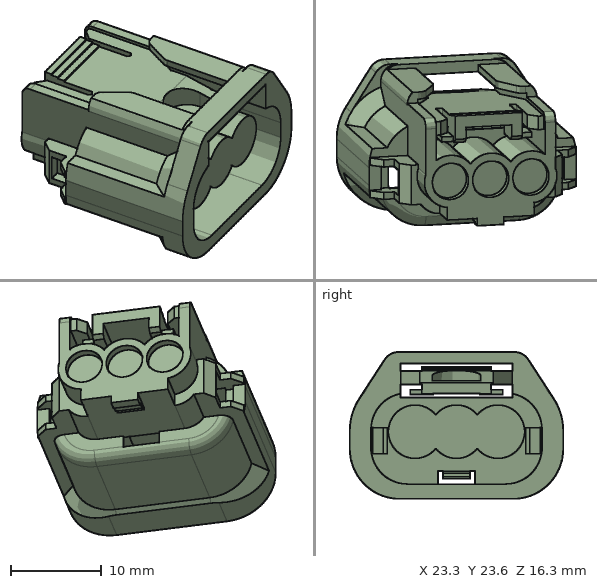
import cadquery as cq
import math


length = 23.25
tower_end = 3.42
hood_start = 8.25
rail_start = 8.52
flare_start = 18.67
lip_start = 20.23
flange_start = 20.7

flange_half_width = 11.8
flange_height = 16.25
shoulder_z = 7.55
shoulder_radius = 6.45
roof_radius = 1.9
side_normal = 33.0
belly_radius = 5.55

ledge_bottom = 4.22
ledge_top = 9.7
barrel_half_width = 10.22
barrel_bottom = 0.4
barrel_top = 12.45
barrel_radius = 4.85
barrel_front_fillet = 1.32
flare_growth = 1.58
cavity_start = 8.55
cavity_half_width = 9.45
cavity_bottom = 1.65
cavity_top = 11.7
cavity_radius = 4.01

wall_outer = 7.39
wall_inner = 6.18
wall_top = 14.54
wall_corner_radius = 1.0
housing_radius = 1.89
roof_underside = 14.96
rail_top = 15.76
rail_inner = 3.56
rail_nose_inner = 5.45
rail_nose_radius = 1.05
rail_straight_start = 11.87
rail_bend_radius = 1.06
passage_floor = 11.23

wire_pitch = 4.58
wire_z = 7.43
tube_radius = 2.95
bore_radius = 2.05
bore_depth = 0.95
tower_bottom = 3.07
tower_foot_half_width = 4.93
neck_radius = 2.6
core_end = 21.25

key_half_width = 1.5
key_steps = [(1.18, 2.22), (2.2, 2.45), (3.19, 2.85)]
keyway_half_width = 2.03

arm_top = 8.7
arm_start = tower_end
arm_nose_half_width = 8.2
arm_half_width = 9.27
arm_chamfer_end = 4.6
arm_step_x = 6.8
arm_step_half_width = 10.5
arm_tip_x = 8.02
arm_tip_half_width = 11.7
window_start = 4.95
window_end = 8.97
window_bottom = 5.0
window_top = 7.88
window_inner = 8.12
window_step_x = 6.87
window_rear_inner = 7.65
window_hood_outer = 10.43

plate_bottom = 12.63
plate_top = 14.15
plate_start = 0.55
plate_chamfer_end = 1.53
plate_neck_start = 8.97
plate_neck_end = 12.27
plate_half_width = 4.08
plate_end = 20.98
plate_slope_start = 14.3
plate_end_top = 12.81
slot_inner = 3.82
slot_outer = 4.55
slot_end = 7.08
slot_end_radius = 0.33
tongue_start = 0.83
tongue_steps = [(1.65, 14.6), (2.45, 14.47), (3.28, 14.3)]
tongue_underside = 13.26
leg_inner = 2.6
leg_end = 4.37
leg_bottom = 11.52
leg_chamfer = 0.45
crossbar_start = 1.85
crossbar_half_width = 5.12
crossbar_top = 12.08
hook_start = 11.8
hook_bottom = 11.63
hook_ramp_end = 13.45
pocket_half_width = 2.67
pocket_start = 14.18
pocket_end = 19.07
pocket_floor = 11.75
pocket_lip_end = 19.64


def box(x0, x1, y0, y1, z0, z1):
    return cq.Workplane("XY").box(x1 - x0, y1 - y0, z1 - z0, centered=False).translate((x0, y0, z0))


def centred_box(x0, x1, half_width, z0, z1):
    return box(x0, x1, -half_width, half_width, z0, z1)


def both_sides(solid):
    return solid.union(solid.mirror("XZ"))


def side_profile(points, half_width):
    """Extrude an XZ outline symmetrically about the mid-plane."""
    return cq.Workplane("XZ").polyline(points).close().extrude(half_width, both=True)


def rounded_bar(x0, x1, half_width, z0, z1, radius):
    return centred_box(x0, x1, half_width, z0, z1).edges("|X").fillet(radius)


def on_circle(centre, radius, degrees):
    angle = math.radians(degrees)
    return (centre[0] + radius * math.cos(angle), centre[1] + radius * math.sin(angle))


def flange_body(x0, x1):
    """Flange outline: flat belly, vertical sides, leaning upper sides and a flat roof."""
    belly = (flange_half_width - belly_radius, belly_radius)
    shoulder = (flange_half_width - shoulder_radius, shoulder_z)

    normal_y, normal_z = on_circle((0, 0), 1, side_normal)
    side_reach = shoulder_radius + shoulder[0] * normal_y + shoulder[1] * normal_z
    roof_z = flange_height - roof_radius
    roof = ((side_reach - roof_radius - roof_z * normal_z) / normal_y, roof_z)

    half = (
        cq.Workplane("YZ", origin=(x0, 0, 0))
        .lineTo(belly[0], 0)
        .threePointArc(on_circle(belly, belly_radius, -45), on_circle(belly, belly_radius, 0))
        .lineTo(flange_half_width, shoulder_z)
        .threePointArc(
            on_circle(shoulder, shoulder_radius, side_normal / 2),
            on_circle(shoulder, shoulder_radius, side_normal),
        )
        .lineTo(*on_circle(roof, roof_radius, side_normal))
        .threePointArc(on_circle(roof, roof_radius, (side_normal + 90) / 2), (roof[0], flange_height))
        .lineTo(0, flange_height)
        .close()
        .extrude(x1 - x0)
    )
    return both_sides(half)


def barrel_outline(growth):
    """Barrel cross-section, enlarged all round by growth."""
    width = 2 * (barrel_half_width + growth)
    height = barrel_top - barrel_bottom + 2 * growth
    return cq.Sketch().rect(width, height).vertices().fillet(barrel_radius + growth)


def flare():
    """Barrel widening up to the flange, trimmed where it reaches the flange outline."""
    cone = (
        cq.Workplane("YZ", origin=(flare_start, 0, (barrel_top + barrel_bottom) / 2))
        .placeSketch(
            barrel_outline(0),
            barrel_outline(flare_growth).moved(cq.Location(cq.Vector(0, 0, flange_start - flare_start))),
        )
        .loft(ruled=True)
    )
    return cone.intersect(flange_body(flare_start, flange_start))


def hood():
    barrel = rounded_bar(hood_start, flange_start, barrel_half_width, barrel_bottom, barrel_top, barrel_radius)
    below_ledge = centred_box(hood_start, length, flange_half_width, 0, ledge_bottom)
    lower_barrel = barrel.faces("<X").edges().fillet(barrel_front_fillet).intersect(below_ledge)
    ledges = flange_body(hood_start, flange_start).intersect(
        centred_box(hood_start, flange_start, flange_half_width, ledge_bottom, ledge_top)
    )
    flange = flange_body(flange_start, length)
    return barrel.cut(below_ledge).union(lower_barrel).union(ledges).union(flare()).union(flange)


def housing():
    """Roofed channel for the latch, between the open front walls and the flange."""
    body = centred_box(rail_start, flange_start, wall_outer, wire_z, flange_height)
    body = body.edges("|X and >Z").fillet(housing_radius)
    return body.cut(centred_box(rail_start, lip_start, wall_outer, rail_top, flange_height))


def rail_opening():
    """Open space above the latch: all of the front, then the gap narrowing between the rails."""
    half_outline = [
        (0, 0),
        (0, wall_outer),
        (rail_start, wall_outer),
        (rail_start, rail_nose_inner),
        (rail_straight_start, rail_inner),
        (lip_start, rail_inner),
        (lip_start, 0),
    ]
    half = cq.Workplane("XY", origin=(0, 0, roof_underside)).polyline(half_outline).close()
    half = half.extrude(flange_height - roof_underside)
    nose = cq.selectors.NearestToPointSelector((rail_start, rail_nose_inner, roof_underside))
    half = half.edges("|Z").edges(nose).fillet(rail_nose_radius)
    bend = cq.selectors.NearestToPointSelector((rail_straight_start, rail_inner, roof_underside))
    half = half.edges("|Z").edges(bend).fillet(rail_bend_radius)
    return both_sides(half)


def front_walls():
    wall = box(0, cavity_start, wall_inner, wall_outer, wire_z, wall_top)
    return both_sides(wall.edges("|Y").edges("<X and >Z").fillet(wall_corner_radius))


def hood_interior():
    """Mating cavity, latch passage above it and keyway through the front wall below it."""
    cavity = rounded_bar(cavity_start, length, cavity_half_width, cavity_bottom, cavity_top, cavity_radius)
    passage = centred_box(hood_start, length, wall_inner, passage_floor, roof_underside)
    keyway = centred_box(hood_start, cavity_start, keyway_half_width, cavity_bottom, tower_bottom)
    return cavity.union(passage).union(keyway)


def wire_cylinder(position, radius, depth):
    """Cylinder on a wire axis, running back from X = 0; position counts from the middle wire."""
    return cq.Workplane("YZ", origin=(0, position * wire_pitch, wire_z)).circle(radius).extrude(depth)


def wire_tower():
    """Three wire tubes on a block, carried on through the hood as a rounded core."""
    foot = centred_box(0, tower_end, tower_foot_half_width, tower_bottom, wire_z)
    neck_half_width = wire_pitch + tube_radius
    neck = centred_box(tower_end, cavity_start, neck_half_width, tower_bottom, wire_z)
    neck = neck.edges("|X and <Z").fillet(neck_radius)
    tower = foot.union(neck)
    for position in (-1, 0, 1):
        tower = tower.union(wire_cylinder(position, tube_radius, core_end))
    step_start = 0
    for step_end, underside in key_steps:
        tower = tower.union(centred_box(step_start, step_end, key_half_width, underside, wire_z))
        step_start = step_end
    return tower


def wire_bores():
    bores = wire_cylinder(0, bore_radius, bore_depth)
    for position in (-1, 1):
        bores = bores.add(wire_cylinder(position, bore_radius, bore_depth))
    return bores.combine()


def side_arms():
    outline = [
        (arm_start, wall_inner),
        (arm_start, arm_nose_half_width),
        (arm_chamfer_end, arm_half_width),
        (arm_step_x, arm_half_width),
        (arm_step_x, arm_step_half_width),
        (arm_tip_x, arm_tip_half_width),
        (hood_start, arm_tip_half_width),
        (hood_start, wall_inner),
    ]
    arm = cq.Workplane("XY", origin=(0, 0, ledge_bottom)).polyline(outline).close()
    return both_sides(arm.extrude(arm_top - ledge_bottom))


def arm_windows():
    """Side windows through the arms, opening past the hood front into the mating cavity."""
    front = box(window_start, hood_start, window_inner, flange_half_width, window_bottom, window_top)
    rear = box(window_step_x, window_end, window_rear_inner, window_hood_outer, window_bottom, window_top)
    return both_sides(front.union(rear))


def latch_plate():
    half_outline = [
        (plate_start, 0),
        (plate_start, wall_inner),
        (plate_neck_start, wall_inner),
        (plate_neck_end, plate_half_width),
        (plate_end, plate_half_width),
        (plate_end, 0),
    ]
    plate = cq.Workplane("XY", origin=(0, 0, plate_bottom)).polyline(half_outline).close()
    return both_sides(plate.extrude(plate_top - plate_bottom))


def latch_slots():
    """Open-ended slots that free the tongue, with their flared mouths."""
    slot = box(0, slot_end, slot_inner, slot_outer, plate_bottom, plate_top)
    slot = slot.edges("|Z and >X").fillet(slot_end_radius)
    corner_y = slot_outer + plate_chamfer_end - plate_start
    mouth_outline = [
        (plate_start, slot_inner),
        (plate_start, corner_y),
        (plate_chamfer_end, slot_outer),
        (plate_chamfer_end, slot_inner),
    ]
    mouth = cq.Workplane("XY", origin=(0, 0, plate_bottom)).polyline(mouth_outline).close()
    mouth = mouth.extrude(plate_top - plate_bottom)
    return both_sides(slot.union(mouth))


def latch():
    """Sprung plate between the walls, with a stepped thumb tongue in front and a hook behind."""
    body = latch_plate().cut(latch_slots())
    body = body.cut(centred_box(0, tongue_start, slot_inner, plate_bottom, plate_top))

    step_start = tongue_start
    for step_end, top in tongue_steps:
        body = body.union(centred_box(step_start, step_end, slot_inner, plate_bottom, top))
        step_start = step_end

    leg = box(tongue_start, leg_end, leg_inner, slot_inner, leg_bottom, plate_top)
    leg = leg.edges("<X and <Z").chamfer(leg_chamfer)
    crossbar = box(crossbar_start, leg_end, leg_inner, crossbar_half_width, leg_bottom, crossbar_top)
    body = body.union(both_sides(leg.union(crossbar)))

    body = body.cut(centred_box(tongue_start, hook_ramp_end, leg_inner, plate_bottom, tongue_underside))
    hook = side_profile(
        [
            (hook_start, hook_bottom),
            (plate_end, hook_bottom),
            (plate_end, plate_end_top),
            (hook_ramp_end, tongue_underside),
        ],
        slot_inner,
    )
    body = body.union(hook)

    falling_top = side_profile(
        [(plate_slope_start, plate_top), (plate_end, plate_top), (plate_end, plate_end_top)],
        plate_half_width,
    )
    return body.cut(falling_top).cut(latch_pocket())


def latch_pocket():
    """D-shaped release pocket with a shallow lip behind its straight side."""
    arc_centre = pocket_start + pocket_half_width
    straight = centred_box(arc_centre, pocket_end, pocket_half_width, pocket_floor, plate_top)
    round_end = (
        cq.Workplane("XY", origin=(arc_centre, 0, pocket_floor))
        .circle(pocket_half_width)
        .extrude(plate_top - pocket_floor)
        .cut(centred_box(arc_centre, length, pocket_half_width, pocket_floor, plate_top))
    )
    top_slope = (plate_top - plate_end_top) / (plate_end - plate_slope_start)
    lip_z = plate_top - top_slope * (pocket_lip_end - plate_slope_start)
    lip = centred_box(pocket_end, pocket_lip_end, pocket_half_width, lip_z, plate_top)
    return straight.union(round_end).union(lip)


outer_shell = hood().union(housing()).union(front_walls()).union(side_arms())
hollow_shell = outer_shell.cut(hood_interior()).cut(rail_opening())
body = hollow_shell.union(wire_tower()).cut(wire_bores()).cut(arm_windows())
result = body.union(latch())